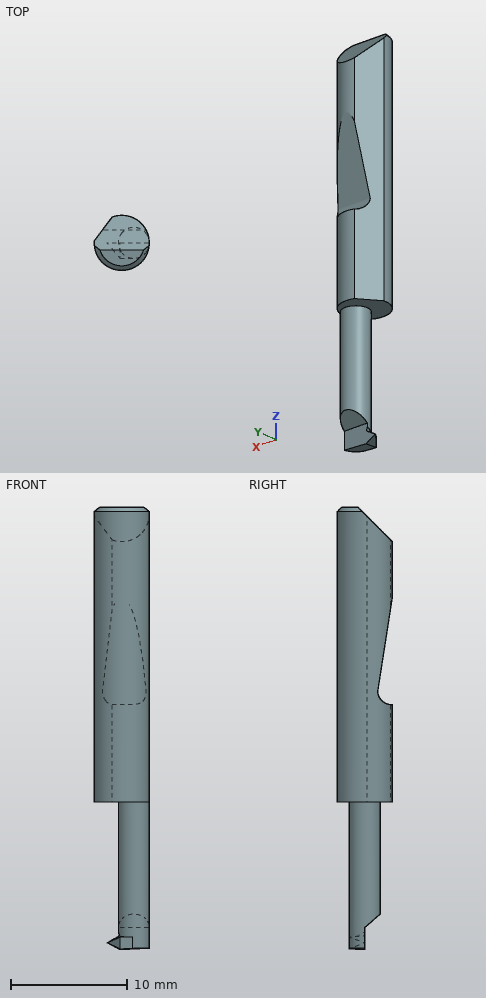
import cadquery as cq
import math

shank_diameter = 4.76
shank_radius = shank_diameter / 2
total_length = 38.1
shank_length = 25.4
shank_bottom = total_length - shank_length
top_chamfer = 0.4
top_bevel = 2.98

flat_distance = 2.0
flat_angle = 143.0

notch_top = 30.3
notch_depth = 1.26
notch_floor = 22.2
notch_bottom = 21.1

neck_radius = 1.34
neck_center = shank_radius - neck_radius
relief_top = 3.07
relief_bottom = 1.9

head_left = -0.14
head_right = 0.94
tooth_tip_x = -1.25
tooth_tip_z = 0.6
tooth_half_angle = 30.0
head_top_rake = tooth_tip_z + (head_left - tooth_tip_x) * math.tan(math.radians(tooth_half_angle))
head_top_heel = 1.08
head_bottom_heel = 0.07
end_rise_per_width = 0.05
undercut_top = 1.5

margin = 1.0
cutter_span = 2 * shank_diameter


def extrude_along_x(points):
    """Prism with a (Y, Z) outline that spans the whole part along X."""
    reach = cutter_span / 2
    return cq.Workplane("YZ").polyline(points).close().extrude(reach, both=True)


def make_shank():
    shank = cq.Workplane("XY").workplane(offset=shank_bottom).circle(shank_radius).extrude(shank_length)
    return shank.faces(">Z").chamfer(top_chamfer)


def make_bevel():
    far_y = shank_radius + margin
    return extrude_along_x([
        (shank_radius - top_bevel - margin, total_length + margin),
        (far_y, total_length - top_bevel - margin),
        (far_y, total_length + margin),
    ])


def make_flat():
    cut_depth = shank_radius - flat_distance + margin
    cutter = cq.Workplane("XY").box(cut_depth, cutter_span, shank_length, centered=(False, True, False))
    cutter = cutter.translate((flat_distance, 0, shank_bottom))
    return cutter.rotate((0, 0, 0), (0, 0, 1), flat_angle)


def make_notch():
    floor_y = shank_radius - notch_depth
    round_height = notch_floor - notch_bottom
    arc_middle = (
        shank_radius - notch_depth * math.cos(math.pi / 4),
        notch_bottom + round_height * (1 - math.sin(math.pi / 4)),
    )
    profile = (
        cq.Workplane("YZ")
        .moveTo(shank_radius, notch_top)
        .lineTo(floor_y, notch_floor)
        .threePointArc(arc_middle, (shank_radius, notch_bottom))
        .lineTo(shank_radius + margin, notch_bottom)
        .lineTo(shank_radius + margin, notch_top)
        .close()
    )
    return profile.extrude(cutter_span / 2, both=True)


def make_neck():
    neck = cq.Workplane("XY").center(neck_center, 0).circle(neck_radius).extrude(shank_bottom)
    relief = extrude_along_x([
        (0, -margin),
        (0, relief_bottom),
        (neck_radius, relief_top),
        (neck_radius + margin, relief_top),
        (neck_radius + margin, -margin),
    ])
    reach = neck_radius + margin
    undercut = (
        cq.Workplane("XZ")
        .polyline([
            (head_left, -margin),
            (head_left, head_top_heel),
            (neck_center - neck_radius, undercut_top),
            (neck_center - neck_radius - margin, undercut_top),
            (neck_center - neck_radius - margin, -margin),
        ])
        .close()
        .extrude(reach, both=True)
    )
    return neck.cut(relief).cut(undercut)


def make_head_block():
    section = [
        (0, 0),
        (0, head_top_rake),
        (-neck_radius, head_top_heel),
        (-neck_radius, head_bottom_heel),
    ]
    block = cq.Workplane("YZ").workplane(offset=head_left).polyline(section).close()
    return block.extrude(head_right - head_left)


def make_tooth():
    """Pyramid from the left side of the head block to the cutting point."""
    tip = (tooth_tip_x, 0, tooth_tip_z)
    base = [
        (head_left, 0, 0),
        (head_left, 0, head_top_rake),
        (head_left, -neck_radius, head_top_heel),
        (head_left, -neck_radius, head_bottom_heel),
    ]
    outlines = [base]
    for index, corner in enumerate(base):
        outlines.append([base[index - 1], corner, tip])
    faces = []
    for outline in outlines:
        wire = cq.Wire.makePolygon([cq.Vector(*point) for point in outline], close=True)
        faces.append(cq.Face.makeFromWires(wire))
    return cq.Workplane(cq.Solid.makeSolid(cq.Shell.makeShell(faces)))


def make_end_relief():
    """Everything below the sloping end face of the neck and head block."""
    rise_per_depth = head_bottom_heel / neck_radius
    end_plane = cq.Plane(
        origin=(head_left, 0, 0),
        xDir=(1, 0, end_rise_per_width),
        normal=(-end_rise_per_width, rise_per_depth, 1),
    )
    return cq.Workplane(end_plane).rect(cutter_span, cutter_span).extrude(-margin)


shank = make_shank().cut(make_bevel()).cut(make_flat()).cut(make_notch())
head = make_neck().union(make_head_block()).cut(make_end_relief())
result = shank.union(head).union(make_tooth())